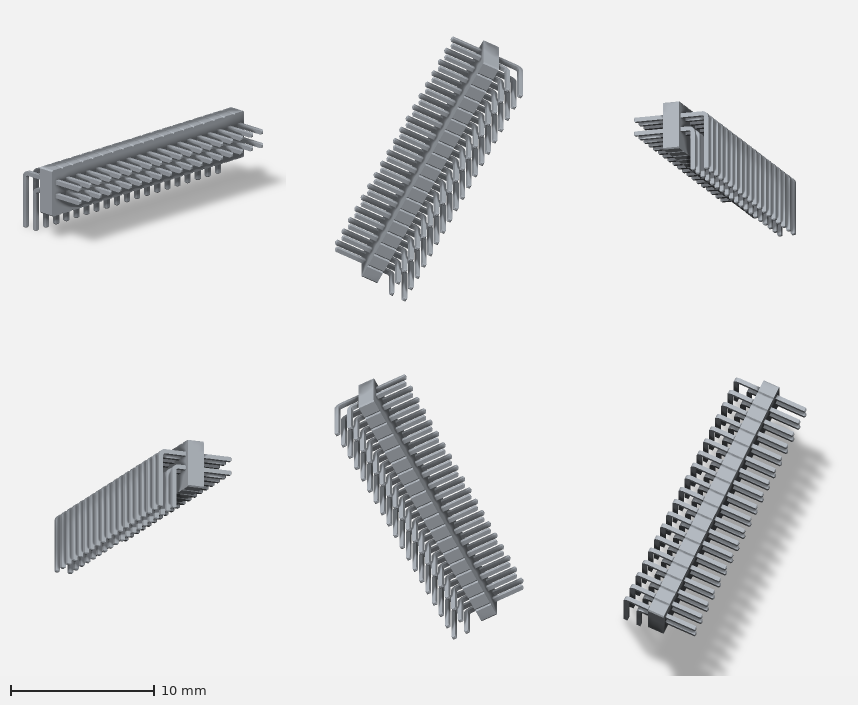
import cadquery as cq


BODY_LENGTH = 19.0
COLUMNS = 19
PITCH = BODY_LENGTH / COLUMNS
PIN_REACH = 5.55
TOTAL_HEIGHT = 5.0

BODY_START = 2.05
BODY_WIDTH = 1.2
BODY_HEIGHT = 3.4
BODY_CHAMFER = 0.1
BODY_BOTTOM = TOTAL_HEIGHT - BODY_HEIGHT

PIN_SIZE = 0.3
PIN_TIP_CHAMFER = 0.08
INNER_BEND_RADIUS = 0.15
OUTER_BEND_RADIUS = INNER_BEND_RADIUS + PIN_SIZE
UPPER_PIN_DROP = 0.8
UPPER_PIN_TOP = TOTAL_HEIGHT - UPPER_PIN_DROP


def column_positions():
    """Y position of each column, centred on the body."""
    return [(i - (COLUMNS - 1) / 2) * PITCH for i in range(COLUMNS)]


def body_segment(y):
    """One block of the body, with its four long edges chamfered."""
    return (
        cq.Workplane("XY")
        .box(BODY_WIDTH, PITCH, BODY_HEIGHT, centered=(False, True, False))
        .edges("|X")
        .chamfer(BODY_CHAMFER)
        .translate((BODY_START, y, BODY_BOTTOM))
    )


def bent_pin(left, top):
    """L-shaped square pin, centred on Y = 0, with chamfered tips."""
    return (
        cq.Workplane("XZ")
        .moveTo(left, 0)
        .lineTo(left, top)
        .lineTo(PIN_REACH, top)
        .lineTo(PIN_REACH, top - PIN_SIZE)
        .lineTo(left + PIN_SIZE, top - PIN_SIZE)
        .lineTo(left + PIN_SIZE, 0)
        .close()
        .extrude(PIN_SIZE / 2, both=True)
        .edges(cq.selectors.NearestToPointSelector((left, 0, top)))
        .fillet(OUTER_BEND_RADIUS)
        .edges(cq.selectors.NearestToPointSelector((left + PIN_SIZE, 0, top - PIN_SIZE)))
        .fillet(INNER_BEND_RADIUS)
        .faces("<Z or >X")
        .chamfer(PIN_TIP_CHAMFER)
    )


outer_pin = bent_pin(0, UPPER_PIN_TOP)
inner_pin = bent_pin(PITCH, UPPER_PIN_TOP - PITCH)

solids = []
for column_y in column_positions():
    solids.append(body_segment(column_y).val())
    for pin in (outer_pin, inner_pin):
        solids.append(pin.translate((0, column_y, 0)).val())

result = cq.Workplane(obj=solids[0].fuse(*solids[1:]).clean())